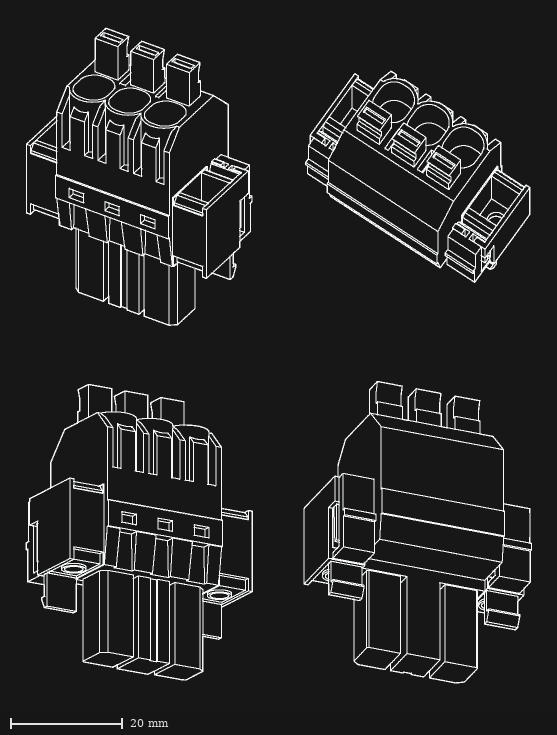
import cadquery as cq


def box(x_range, y_range, z_range):
    """Box between two limits along each axis."""
    return cq.Workplane("XY").box(
        x_range[1] - x_range[0],
        y_range[1] - y_range[0],
        z_range[1] - z_range[0],
        centered=False,
    ).translate((x_range[0], y_range[0], z_range[0]))


def prism_along_x(x_range, yz_points):
    """Straight prism running along X whose section is a (y, z) outline."""
    section = cq.Workplane("YZ", origin=(x_range[0], 0, 0)).polyline(yz_points).close()
    return section.extrude(x_range[1] - x_range[0])


def around(center, width):
    """Pair of limits that lie half a width on each side of a center."""
    return (center - width / 2, center + width / 2)


TOTAL_HEIGHT = 52.1
TOTAL_WIDTH = 38.1
TOTAL_DEPTH = 20.6
POLE_PITCH = 7.55
POLE_CENTERS = [-POLE_PITCH, 0.0, POLE_PITCH]

BLOCK_WIDTH = 23.85
BLOCK_HALF = BLOCK_WIDTH / 2
BLOCK_DEPTH = 19.9
BLOCK_BACK = BLOCK_DEPTH / 2
BLOCK_FRONT = -BLOCK_BACK
BLOCK_TOP = 44.7
BLOCK_X = (-BLOCK_HALF, BLOCK_HALF)
BACK_CHAMFER = 4.95
FRONT_CHAMFER_DEPTH = 3.45
FRONT_CHAMFER_HEIGHT = 3.6

BAND_BACK = TOTAL_DEPTH / 2
BAND_TOP = 27.3
BAND_BOTTOM = 22.35
FOOT_BOTTOM = 15.4
FOOT_BACK_BOTTOM = 17.55
TAPER_RUN = 1.05
TAPER_SLOPE = TAPER_RUN / (BAND_BOTTOM - FOOT_BOTTOM)

BORE_WIDTH = 6.8
BORE_LENGTH = 7.55
BORE_CORNER_RADIUS = 2.95
BORE_CENTER_Y = -4.3
BORE_DEPTH = 10.4
COLLAR_RADIUS = 4.15
COLLAR_CENTER_Y = -4.75
RELIEF_WIDTH = 6.4
RELIEF_BOTTOM = 33.7
RIB_WIDTH = 3.0

TOP_POCKETS = [(-3.75, 1.2), (3.55, 0.75)]
TOP_POCKET_Y = (-0.75, 3.7)
TOP_POCKET_DEPTH = 5.2

WINDOW_WIDTH = RIB_WIDTH
WINDOW_Z = (23.5, 25.5)
WINDOW_DEPTH = 1.35
GROOVE_TOP_WIDTH = 3.45
GROOVE_BOTTOM_WIDTH = 3.75
GROOVE_FLOOR_Y = -8.2

LEG_WIDTH = 6.45
LEG_FRONT = -6.3
LEG_BACK = 1.25
OUTER_LEG_BACK = 0.9
LEG_FRONT_CHAMFER_X = 1.2
LEG_FRONT_CHAMFER_Y = 1.0
LEG_BACK_CHAMFER = 0.3
KEY_GROOVE_WIDTH = 1.45
KEY_GROOVE_DEPTH = 0.35

LEVER_WIDTH = 4.85
LEVER_FRONT = -0.1
LEVER_BACK = 3.7
LEVER_TIP_BACK = 3.6
LEVER_NECK_BACK = 3.0
LEVER_NECK_BOTTOM = 48.0
LEVER_NECK_TOP = 50.25
LEVER_SLOT_WIDTH = 4.05
LEVER_SLOT_Y = (1.2, 2.25)
LEVER_SLOT_DEPTH = 1.05

FLANGE_OUTER = -TOTAL_WIDTH / 2
OUTER_PLATE = 0.85
INNER_PLATE = 0.2
FLANGE_INNER = -BLOCK_HALF
CORE_X = (FLANGE_OUTER + OUTER_PLATE, FLANGE_INNER - INNER_PLATE)
FLANGE_TOP = 30.6
FLANGE_BOTTOM = 15.4
CORE_DROP = 0.1
CORE_TOP = FLANGE_TOP - CORE_DROP
FLANGE_FRONT = -8.8
FLANGE_BACK = 5.35
PLATE_BACK = 2.55
WINDOW_TOP = 25.6
BACK_WALL_FRONT = 4.3
BACK_OPENING_X = (-16.5, -13.9)
FRONT_WALL_INNER = -6.7
FRONT_WALL_BOTTOM = 17.75
LIP_SETBACK = 0.2
LIP_BOTTOM = 28.85
LIP_BEVEL_BOTTOM = 29.4
LIP_BEVEL_BACK = -7.65
FLOOR_FRONT = -7.7
FLOOR_BOTTOM = 15.85
SCREW_X = -15.2
SCREW_Y = -3.7
SCREW_HOLE_RADIUS = 1.65
SCREW_BOSS_RADIUS = 2.2

LATCH_WALL_FRONT = 0.5
LATCH_WALL_BACK = 2.45
LATCH_WALL_BEVEL = 0.8
LATCH_FRONT = 0.55
LATCH_BACK = 1.6
LATCH_BOTTOM = 9.15
HOOK_TIP_Y = 2.6
HOOK_TIP_BOTTOM = 11.05
HOOK_TOP = 11.3

BRIDGE_Z = (15.65, 16.75)
ARM_UPPER_BACK = 7.15
ARM_LOWER_BACK = 7.45
ARM_RIDGE_BACK = 7.95
ARM_RIDGE_Z = (21.85, 23.15)
BULGE_PLATE_BACK = 4.15
BULGE_PLATE_BOTTOM = 18.55
BULGE_PLATE_FRONT_TOP = 3.8
BULGE_PLATE_FRONT_BOTTOM = 3.45
BULGE_Y = 2.9
BULGE_Z = 28.15
WEB_WIDTH = 0.7


def housing_block():
    """Chamfered block with a raised band and a tapered foot."""
    return prism_along_x(
        BLOCK_X,
        [
            (LEG_BACK, FOOT_BOTTOM),
            (BLOCK_FRONT + TAPER_RUN, FOOT_BOTTOM),
            (BLOCK_FRONT, BAND_BOTTOM),
            (-BAND_BACK, BAND_BOTTOM),
            (-BAND_BACK, BAND_TOP),
            (BLOCK_FRONT, BAND_TOP),
            (BLOCK_FRONT, BLOCK_TOP - FRONT_CHAMFER_HEIGHT),
            (BLOCK_FRONT + FRONT_CHAMFER_DEPTH, BLOCK_TOP),
            (BLOCK_BACK - BACK_CHAMFER, BLOCK_TOP),
            (BLOCK_BACK, BLOCK_TOP - BACK_CHAMFER),
            (BLOCK_BACK, BAND_TOP),
            (BAND_BACK, BAND_TOP),
            (BAND_BACK, BAND_BOTTOM),
            (BLOCK_BACK, BAND_BOTTOM),
            (BLOCK_BACK - TAPER_SLOPE * (BAND_BOTTOM - FOOT_BACK_BOTTOM), FOOT_BACK_BOTTOM),
            (LEG_BACK, FOOT_BACK_BOTTOM),
        ],
    )


def collar(x):
    """Round wall around one wire entry, standing clear of the front chamfer."""
    height = BLOCK_TOP - RELIEF_BOTTOM
    return (
        cq.Workplane("XY", origin=(x, COLLAR_CENTER_Y, RELIEF_BOTTOM))
        .circle(COLLAR_RADIUS)
        .extrude(height)
    )


def collar_relief(x):
    """Space in front of a collar, on both sides of its rib."""
    space = box(around(x, RELIEF_WIDTH), (BLOCK_FRONT, COLLAR_CENTER_Y), (RELIEF_BOTTOM, BLOCK_TOP))
    rib = box(around(x, RIB_WIDTH), (BLOCK_FRONT, COLLAR_CENTER_Y), (RELIEF_BOTTOM, BLOCK_TOP))
    return space.cut(rib).cut(collar(x))


def wire_bore(x):
    """Blind hole with a rounded-rectangle section."""
    hole = box(
        around(x, BORE_WIDTH),
        around(BORE_CENTER_Y, BORE_LENGTH),
        (BLOCK_TOP - BORE_DEPTH, BLOCK_TOP),
    )
    return hole.edges("|Z").fillet(BORE_CORNER_RADIUS)


def foot_groove(x):
    """Groove in the front of the foot, a little wider at the bottom."""
    return (
        cq.Workplane("XZ", origin=(x, GROOVE_FLOOR_Y, 0))
        .polyline(
            [
                (-GROOVE_TOP_WIDTH / 2, BAND_BOTTOM),
                (GROOVE_TOP_WIDTH / 2, BAND_BOTTOM),
                (GROOVE_BOTTOM_WIDTH / 2, FOOT_BOTTOM),
                (-GROOVE_BOTTOM_WIDTH / 2, FOOT_BOTTOM),
            ]
        )
        .close()
        .extrude(GROOVE_FLOOR_Y - BLOCK_FRONT)
    )


def middle_leg():
    """Leg with a shallow key groove down its front."""
    leg = box(around(0, LEG_WIDTH), (LEG_FRONT, LEG_BACK), (0, FOOT_BOTTOM))
    groove = box(
        around(0, KEY_GROOVE_WIDTH), (LEG_FRONT, LEG_FRONT + KEY_GROOVE_DEPTH), (0, FOOT_BOTTOM)
    )
    return leg.cut(groove)


def left_leg():
    """Leg of the left pole, with both outer corners chamfered."""
    outer, inner = around(-POLE_PITCH, LEG_WIDTH)
    return (
        cq.Workplane("XY")
        .polyline(
            [
                (outer, LEG_FRONT + LEG_FRONT_CHAMFER_Y),
                (outer + LEG_FRONT_CHAMFER_X, LEG_FRONT),
                (inner, LEG_FRONT),
                (inner, OUTER_LEG_BACK),
                (outer + LEG_BACK_CHAMFER, OUTER_LEG_BACK),
                (outer, OUTER_LEG_BACK - LEG_BACK_CHAMFER),
            ]
        )
        .close()
        .extrude(FOOT_BOTTOM)
    )


def make_housing():
    """Connector body with its wire entries, pockets and plug legs."""
    body = housing_block()
    for x in POLE_CENTERS:
        window = box(around(x, WINDOW_WIDTH), (-BAND_BACK, -BAND_BACK + WINDOW_DEPTH), WINDOW_Z)
        body = body.cut(collar_relief(x)).cut(window).cut(foot_groove(x))
    for x in POLE_CENTERS:
        body = body.union(collar(x))
    for x in POLE_CENTERS:
        body = body.cut(wire_bore(x))
    for x, width in TOP_POCKETS:
        body = body.cut(
            box(around(x, width), TOP_POCKET_Y, (BLOCK_TOP - TOP_POCKET_DEPTH, BLOCK_TOP))
        )
    return body.union(middle_leg()).union(left_leg()).union(left_leg().mirror("YZ"))


def make_lever(x):
    """Lever standing on the block, with a finger notch behind and a tool slot on top."""
    lever = prism_along_x(
        around(x, LEVER_WIDTH),
        [
            (LEVER_FRONT, BLOCK_TOP),
            (LEVER_BACK, BLOCK_TOP),
            (LEVER_BACK, LEVER_NECK_BOTTOM),
            (LEVER_NECK_BACK, LEVER_NECK_BOTTOM),
            (LEVER_NECK_BACK, LEVER_NECK_TOP),
            (LEVER_TIP_BACK, TOTAL_HEIGHT),
            (LEVER_FRONT, TOTAL_HEIGHT),
        ],
    )
    tool_slot = box(
        around(x, LEVER_SLOT_WIDTH), LEVER_SLOT_Y, (TOTAL_HEIGHT - LEVER_SLOT_DEPTH, TOTAL_HEIGHT)
    )
    return lever.cut(tool_slot)


def flange_plates():
    """Outer and inner side plates, and the wall across the top of the back."""
    outer_x = (FLANGE_OUTER, CORE_X[0])
    outer_low = box(outer_x, (FLANGE_FRONT, PLATE_BACK), (FLANGE_BOTTOM, FLANGE_TOP))
    outer_high = box(outer_x, (PLATE_BACK, FLANGE_BACK), (WINDOW_TOP, FLANGE_TOP))
    inner = box(
        (CORE_X[1], FLANGE_INNER), (FLANGE_FRONT, PLATE_BACK), (FLANGE_BOTTOM, FLANGE_TOP)
    )
    back_wall = box(
        (FLANGE_OUTER, FLANGE_INNER), (BACK_WALL_FRONT, FLANGE_BACK), (WINDOW_TOP, FLANGE_TOP)
    )
    opening = box(BACK_OPENING_X, (BACK_WALL_FRONT, FLANGE_BACK), (WINDOW_TOP, FLANGE_TOP))
    return outer_low.union(outer_high).union(inner).union(back_wall.cut(opening))


def flange_front_wall():
    """Front wall with a bevelled lip set slightly back from the plates."""
    lip_front = FLANGE_FRONT + LIP_SETBACK
    return prism_along_x(
        CORE_X,
        [
            (FRONT_WALL_INNER, FRONT_WALL_BOTTOM),
            (FLANGE_FRONT, FRONT_WALL_BOTTOM),
            (FLANGE_FRONT, LIP_BOTTOM),
            (lip_front, LIP_BOTTOM),
            (lip_front, LIP_BEVEL_BOTTOM),
            (LIP_BEVEL_BACK, CORE_TOP),
            (FRONT_WALL_INNER, CORE_TOP),
        ],
    )


def flange_floor():
    """Floor with a screw hole and a low round boss underneath."""
    slab = box(CORE_X, (FLOOR_FRONT, PLATE_BACK), (FLOOR_BOTTOM, FRONT_WALL_BOTTOM))
    screw_axis = cq.Workplane("XY", origin=(SCREW_X, SCREW_Y, FLANGE_BOTTOM))
    boss = screw_axis.circle(SCREW_BOSS_RADIUS).extrude(FLOOR_BOTTOM - FLANGE_BOTTOM)
    hole = screw_axis.circle(SCREW_HOLE_RADIUS).extrude(FRONT_WALL_BOTTOM - FLANGE_BOTTOM)
    return slab.union(boss).cut(hole)


def flange_latch():
    """Wall behind the screw cavity, and the hooked latch hanging below it."""
    wall = prism_along_x(
        CORE_X,
        [
            (LATCH_WALL_FRONT, FLANGE_BOTTOM),
            (LATCH_WALL_BACK, FLANGE_BOTTOM),
            (LATCH_WALL_BACK, CORE_TOP - LATCH_WALL_BEVEL),
            (LATCH_WALL_BACK - LATCH_WALL_BEVEL, CORE_TOP),
            (LATCH_WALL_FRONT, CORE_TOP),
        ],
    )
    latch = prism_along_x(
        CORE_X,
        [
            (LATCH_FRONT, LATCH_BOTTOM),
            (LATCH_BACK, LATCH_BOTTOM),
            (HOOK_TIP_Y, HOOK_TIP_BOTTOM),
            (HOOK_TIP_Y, HOOK_TOP),
            (LATCH_BACK, HOOK_TOP),
            (LATCH_BACK, FLANGE_BOTTOM),
            (LATCH_FRONT, FLANGE_BOTTOM),
        ],
    )
    return wall.union(latch)


def flange_release_arm():
    """Release arm with a ridge on its back, and the bridge joining its foot to the latch wall."""
    return prism_along_x(
        CORE_X,
        [
            (LATCH_WALL_BACK, BRIDGE_Z[0]),
            (ARM_LOWER_BACK, BRIDGE_Z[0]),
            (ARM_LOWER_BACK, ARM_RIDGE_Z[0]),
            (ARM_RIDGE_BACK, ARM_RIDGE_Z[0]),
            (ARM_RIDGE_BACK, ARM_RIDGE_Z[1]),
            (ARM_UPPER_BACK, ARM_RIDGE_Z[1]),
            (ARM_UPPER_BACK, CORE_TOP),
            (FLANGE_BACK, CORE_TOP),
            (FLANGE_BACK, BRIDGE_Z[1]),
            (LATCH_WALL_BACK, BRIDGE_Z[1]),
        ],
    )


def flange_bulge_plate():
    """Plate with a bulged front, joined to the release arm and the bridge by a thin web."""
    plate = prism_along_x(
        CORE_X,
        [
            (BULGE_PLATE_BACK, BULGE_PLATE_BOTTOM),
            (BULGE_PLATE_BACK, CORE_TOP),
            (BULGE_PLATE_FRONT_TOP, CORE_TOP),
            (BULGE_Y, BULGE_Z),
            (BULGE_PLATE_FRONT_BOTTOM, BULGE_PLATE_BOTTOM),
        ],
    )
    web_x = around(SCREW_X, WEB_WIDTH)
    upper_web = box(web_x, (BULGE_PLATE_BACK, FLANGE_BACK), (BULGE_PLATE_BOTTOM, CORE_TOP))
    lower_web = box(
        web_x, (BULGE_PLATE_FRONT_BOTTOM, FLANGE_BACK), (BRIDGE_Z[1], BULGE_PLATE_BOTTOM)
    )
    return plate.union(upper_web).union(lower_web)


def make_left_flange():
    """Screw flange on the left side, with its latch and release arm."""
    flange = flange_plates()
    flange = flange.union(flange_front_wall()).union(flange_floor())
    flange = flange.union(flange_latch())
    flange = flange.union(flange_release_arm()).union(flange_bulge_plate())
    return flange


housing = make_housing()
levers = [make_lever(x) for x in POLE_CENTERS]
left_flange = make_left_flange()
right_flange = left_flange.mirror("YZ")

result = cq.Compound.makeCompound(
    [
        housing.solids().val(),
        *[lever.solids().val() for lever in levers],
        left_flange.solids().val(),
        right_flange.solids().val(),
    ]
)